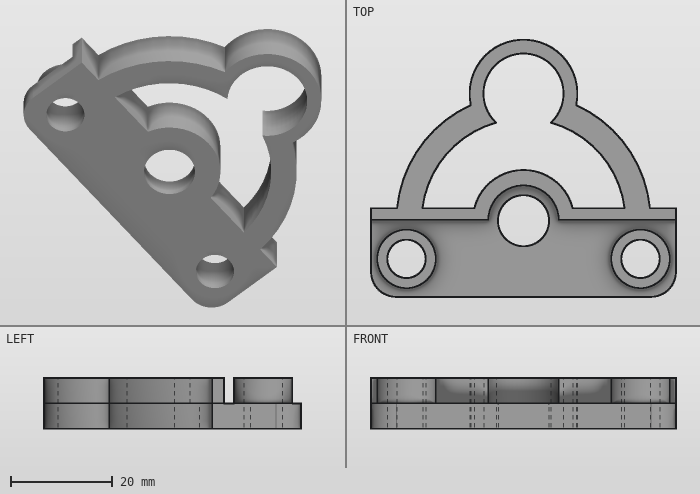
import cadquery as cq

layer_thickness = 5.0

plate_length = 60.0
plate_front_y = -15.0
plate_back_y = 2.5
plate_corner_radius = 5.0

hub_radius = 10.0
centre_hole_diameter = 10.0

arch_outer_radius = 25.0
arch_inner_radius = 20.0

ring_centre_y = arch_outer_radius
ring_outer_radius = 10.614
ring_inner_radius = 7.85

frame_front_y = 0.15
frame_recess_radius = 6.95

mount_x_positions = (-23.0, 23.0)
mount_y = -7.5
spacer_diameter = 11.5
mount_hole_diameter = 7.5


def disc(radius, centre_y=0.0):
    """Disc one layer thick, standing on the XY plane."""
    return cq.Workplane("XY").center(0, centre_y).circle(radius).extrude(layer_thickness)


def strip(front_y, back_y):
    """Full-length rectangular strip one layer thick."""
    return (
        cq.Workplane("XY")
        .center(0, (front_y + back_y) / 2)
        .rect(plate_length, back_y - front_y)
        .extrude(layer_thickness)
    )


def arch_profile(strip_front_y):
    """Strip, hub, arch and open ring joined into one layer, cut off at the strip's front face."""
    arch = disc(arch_outer_radius).union(disc(ring_outer_radius, ring_centre_y))
    arch = arch.cut(disc(arch_inner_radius)).cut(disc(ring_inner_radius, ring_centre_y))
    ring_back_y = ring_centre_y + ring_outer_radius
    kept_area = strip(strip_front_y, ring_back_y)
    return arch.union(disc(hub_radius)).intersect(kept_area).union(strip(strip_front_y, plate_back_y))


def make_base():
    """Lower layer: full plate with rounded front corners and three through holes."""
    base = arch_profile(plate_front_y)
    base = base.edges("|Z").edges("<Y").fillet(plate_corner_radius)
    base = base.cut(disc(centre_hole_diameter / 2))
    mount_holes = (
        cq.Workplane("XY")
        .pushPoints([(x, mount_y) for x in mount_x_positions])
        .circle(mount_hole_diameter / 2)
        .extrude(layer_thickness)
    )
    return base.cut(mount_holes)


def make_frame():
    """Upper layer: narrow wall carrying the hub, arch and ring, open over the centre hole."""
    frame = arch_profile(frame_front_y).cut(disc(frame_recess_radius))
    return frame.translate((0, 0, layer_thickness))


def make_spacer(x):
    """Tubular spacer standing on the base around a mounting hole."""
    return (
        cq.Workplane("XY", origin=(x, mount_y, layer_thickness))
        .circle(spacer_diameter / 2)
        .circle(mount_hole_diameter / 2)
        .extrude(layer_thickness)
    )


base = make_base()
frame = make_frame()
spacers = [make_spacer(x) for x in mount_x_positions]

result = cq.Compound.makeCompound([base.val(), frame.val(), *[spacer.val() for spacer in spacers]])